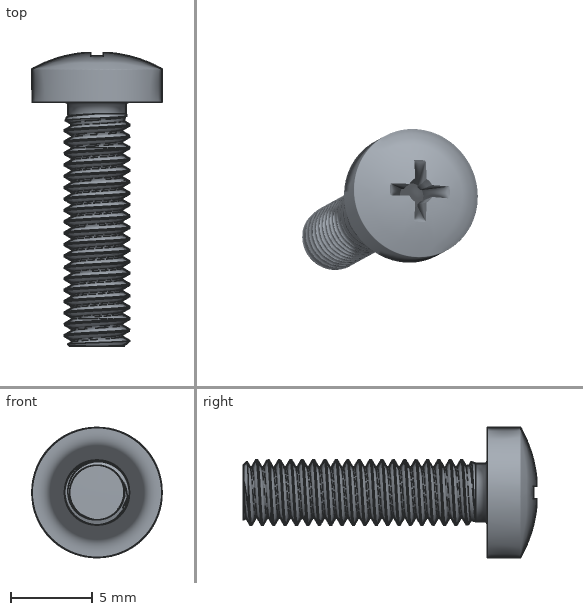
import cadquery as cq
import math


head_radius = 4.0
head_height = 3.1
rim_height = 2.05
edge_round = 0.05

wing_width = 0.74
wing_radius = 2.1
wing_floor_radius = 0.75
core_radius = 0.82
core_floor_radius = 0.65
recess_depth = 1.9

shank_length = 15.0
neck_radius = 1.79
neck_length = 0.7
neck_fillet = 0.15

thread_radius = 2.0
pitch = 0.7
thread_depth = 0.43
root_radius = thread_radius - thread_depth
crest_width = pitch / 8
flank_width = thread_depth * math.tan(math.radians(30))
flank_points = 8
crest_to_tip = 0.31

crest_runout = 0.7
root_runout = 1.1
runout_inner_radius = 1.5
tip_radius = 1.68
tip_bulge = 0.02
tip_chamfer = 0.36
tip_flare = 0.4
trim_radius = thread_radius + 0.05

end_turns = 3
thread_bottom = crest_to_tip - shank_length - pitch
total_turns = math.ceil((-neck_length - thread_bottom) / pitch)
middle_turns = total_turns - 2 * end_turns
middle_bottom = thread_bottom + end_turns * pitch
middle_top = middle_bottom + middle_turns * pitch


def turned(points):
    """Solid of revolution about Z from (radius, height) points."""
    return cq.Workplane("XZ").polyline(points).close().revolve(360, (0, 0), (0, 1))


def make_head():
    dome_height = head_height - rim_height
    dome_radius = (head_radius**2 + dome_height**2) / (2 * dome_height)
    head = (
        cq.Workplane("XZ")
        .lineTo(head_radius, 0)
        .lineTo(head_radius, rim_height)
        .radiusArc((0, head_height), -dome_radius)
        .close()
        .revolve(360, (0, 0), (0, 1))
    )
    return head.edges(cq.selectors.RadiusNthSelector(0)).fillet(edge_round)


def make_recess():
    floor = head_height - recess_depth
    slot = cq.Workplane("XY", origin=(0, 0, floor)).rect(2 * head_radius, wing_width).extrude(recess_depth)
    cross = slot.union(slot.rotate((0, 0, 0), (0, 0, 1), 90))
    wing_ends = turned([(0, floor), (wing_floor_radius, floor), (wing_radius, head_height), (0, head_height)])
    core = turned([(0, floor), (core_floor_radius, floor), (core_radius, head_height), (0, head_height)])
    return cross.intersect(wing_ends).union(core)


def make_neck():
    cone_end = -neck_length - root_runout
    return (
        cq.Workplane("XZ")
        .lineTo(neck_radius + neck_fillet, 0)
        .radiusArc((neck_radius, -neck_fillet), -neck_fillet)
        .lineTo(neck_radius, -neck_length)
        .lineTo(runout_inner_radius, cone_end)
        .lineTo(0, cone_end)
        .close()
        .revolve(360, (0, 0), (0, 1))
    )


def polar(radius, angle):
    return (radius * math.cos(angle), radius * math.sin(angle))


def thread_block(bottom, turns):
    """Length of thread, made by twisting its cross-section; the crest starts on +X."""
    turn = 2 * math.pi
    crest_end = turn * crest_width / 2 / pitch
    flank_end = crest_end + turn * flank_width / pitch
    steps = [i / flank_points for i in range(flank_points + 1)]
    flank = [
        polar(thread_radius - thread_depth * s, crest_end + (flank_end - crest_end) * s)
        for s in steps
    ]
    opposite_flank = [(x, -y) for x, y in reversed(flank)]
    section = (
        cq.Workplane("XY", origin=(0, 0, bottom))
        .moveTo(*opposite_flank[-1])
        .threePointArc((thread_radius, 0), flank[0])
        .spline(flank[1:], includeCurrent=True)
        .threePointArc((-root_radius, 0), opposite_flank[0])
        .spline(opposite_flank[1:], includeCurrent=True)
        .close()
    )
    return section.twistExtrude(turns * pitch, 360 * turns)


def make_upper_thread():
    crest_trim = turned([
        (0, -neck_length),
        (neck_radius, -neck_length),
        (trim_radius, -neck_length - crest_runout),
        (trim_radius, middle_top - pitch),
        (0, middle_top - pitch),
    ])
    return thread_block(middle_top, end_turns).intersect(crest_trim).union(make_neck())


def make_tip_thread():
    edge = tip_bulge - shank_length
    chamfer_start = edge + tip_chamfer
    flare_start = edge + tip_flare
    crest_trim = turned([
        (0, -shank_length),
        (tip_radius, edge),
        (trim_radius, chamfer_start),
        (trim_radius, middle_top),
        (0, middle_top),
    ])
    flare = turned([
        (0, -shank_length),
        (tip_radius, edge),
        (runout_inner_radius, flare_start),
        (0, flare_start),
    ])
    return thread_block(thread_bottom, end_turns).intersect(crest_trim).union(flare)


shank = make_upper_thread().union(thread_block(middle_bottom, middle_turns)).union(make_tip_thread())
screw = make_head().cut(make_recess()).union(shank)
result = screw.rotate((0, 0, 0), (1, 0, 0), -90)